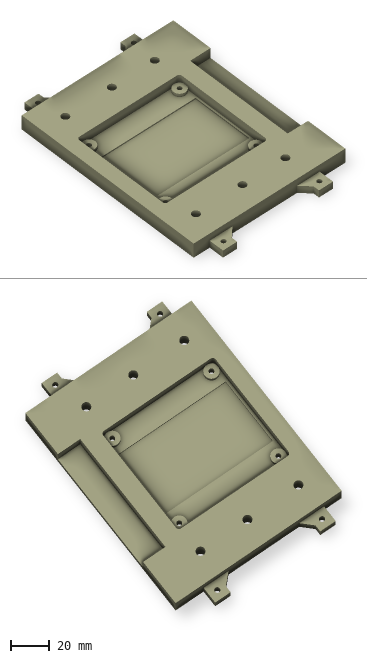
import cadquery as cq

overall_length = 151.0
plate_length = 130.8
plate_width = 105.7
plate_thickness = 10.0

notch_length = 74.1
notch_width = 14.2
notch_depth = 7.0

pocket_length = 67.0
pocket_width = 71.6
pocket_depth = 6.8
pocket_center_y = -7.9
pocket_corner_radius = 1.8

recess_length = 40.9
recess_width = 69.0
recess_depth = 0.9
recess_center_x = 0.5
recess_center_y = -7.7

standoff_diameter = 8.5
standoff_height = 2.3
standoff_bore = 3.0
standoff_x = 29.1
standoff_rows = (24.0, -39.1)

plate_hole_diameter = 5.1
plate_hole_x = 49.7
plate_hole_rows = (25.5, -4.4, -36.8)

ear_thickness = plate_thickness / 2
ear_width = 9.8
ear_brace = 6.0
ear_hole_diameter = 3.2
ear_hole_x = 70.5
ear_hole_offset = 5.0
ear_outer_edge_back = 35.0
ear_outer_edge_front = -41.7
ear_overlap = 1.5

pocket_floor_z = plate_thickness - pocket_depth


def mirrored_points(x, rows):
    """Points at +x and -x in every row."""
    return [(side * x, y) for side in (-1, 1) for y in rows]


def block(length, width, height, x, y, z):
    """Box centered on (x, y) with its underside at z."""
    return cq.Workplane("XY").box(length, width, height, centered=(True, True, False)).translate((x, y, z))


def make_ear(side, outer_edge, inward):
    """Ear on the given X side; inward is the Y direction from its outer edge to its brace."""
    tip_x = side * overall_length / 2
    plate_x = side * plate_length / 2
    root_x = plate_x - side * ear_overlap
    inner_edge = outer_edge + inward * ear_width
    brace_end = inner_edge + inward * ear_brace
    outline = [
        (root_x, outer_edge),
        (tip_x, outer_edge),
        (tip_x, inner_edge),
        (plate_x + side * ear_brace, inner_edge),
        (plate_x, brace_end),
        (root_x, brace_end),
    ]
    hole_center = (side * ear_hole_x, outer_edge + inward * ear_hole_offset)
    ear = cq.Workplane("XY").polyline(outline).close().extrude(ear_thickness)
    hole = cq.Workplane("XY").pushPoints([hole_center]).circle(ear_hole_diameter / 2).extrude(ear_thickness)
    return ear.cut(hole)


body = block(plate_length, plate_width, plate_thickness, 0, 0, 0)
notch_center_y = (plate_width - notch_width) / 2
body = body.cut(block(notch_length, notch_width, notch_depth, 0, notch_center_y, plate_thickness - notch_depth))

pocket = block(pocket_length, pocket_width, pocket_depth, 0, pocket_center_y, pocket_floor_z)
body = body.cut(pocket.edges("|Z").fillet(pocket_corner_radius))
recess_floor_z = pocket_floor_z - recess_depth
body = body.cut(
    block(recess_length, recess_width, recess_depth, recess_center_x, recess_center_y, recess_floor_z)
)

standoff_points = mirrored_points(standoff_x, standoff_rows)
standoffs = cq.Workplane("XY").pushPoints(standoff_points).circle(standoff_diameter / 2)
body = body.union(standoffs.extrude(pocket_floor_z + standoff_height))
standoff_bores = cq.Workplane("XY").pushPoints(standoff_points).circle(standoff_bore / 2)
body = body.cut(standoff_bores.extrude(plate_thickness))

plate_hole_points = mirrored_points(plate_hole_x, plate_hole_rows)
plate_holes = cq.Workplane("XY").pushPoints(plate_hole_points).circle(plate_hole_diameter / 2)
body = body.cut(plate_holes.extrude(plate_thickness))

for side in (-1, 1):
    body = body.union(make_ear(side, ear_outer_edge_back, -1))
    body = body.union(make_ear(side, ear_outer_edge_front, 1))

result = body